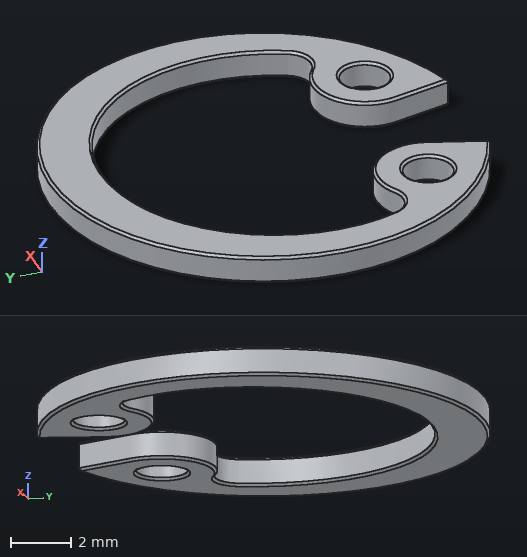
import cadquery as cq
import math

thickness = 1.0
outer_radius = 7.53
inner_radius = 6.05
inner_offset = 0.38
lug_x = 3.27
lug_y = -4.67
lug_radius = 1.84
hole_diameter = 1.7
pocket_radius = 0.87
edge_chamfer = 0.09
tip_chamfer = 0.06


def point_toward(start, target, distance):
    """Point at a distance from start, along the line to target."""
    ratio = distance / math.dist(start, target)
    return (start[0] + (target[0] - start[0]) * ratio,
            start[1] + (target[1] - start[1]) * ratio)


def polar(radius, angle):
    return (radius * math.cos(angle), radius * math.sin(angle))


def mirrored(point):
    return (-point[0], point[1])


ring_center = (0.0, 0.0)
bore_center = (0.0, -inner_offset)
lug_center = (lug_x, lug_y)

lug_distance = math.dist(ring_center, lug_center)
gap_angle = math.atan2(lug_y, lug_x) - math.asin(lug_radius / lug_distance)
gap_tip = polar(outer_radius, gap_angle)
gap_tangent = polar(math.sqrt(lug_distance**2 - lug_radius**2), gap_angle)

bore_to_pocket = inner_radius - pocket_radius
lug_to_pocket = lug_radius + pocket_radius
bore_to_lug = math.dist(bore_center, lug_center)
lug_direction = math.atan2(lug_y - bore_center[1], lug_x)
pocket_turn = math.acos(
    (bore_to_pocket**2 + bore_to_lug**2 - lug_to_pocket**2) / (2 * bore_to_pocket * bore_to_lug)
)
pocket_x, pocket_rise = polar(bore_to_pocket, lug_direction + pocket_turn)
pocket_center = (pocket_x, bore_center[1] + pocket_rise)

bore_tangent = point_toward(bore_center, pocket_center, inner_radius)
lug_tangent = point_toward(lug_center, pocket_center, lug_radius)

pocket_chord_middle = ((bore_tangent[0] + lug_tangent[0]) / 2, (bore_tangent[1] + lug_tangent[1]) / 2)
pocket_middle = point_toward(pocket_center, pocket_chord_middle, pocket_radius)
lug_chord_middle = ((lug_tangent[0] + gap_tangent[0]) / 2, (lug_tangent[1] + gap_tangent[1]) / 2)
lug_middle = point_toward(lug_center, lug_chord_middle, lug_radius)

bottom_plane = cq.Workplane("XY").workplane(offset=-thickness / 2)

ring = (
    bottom_plane
    .moveTo(*gap_tip)
    .threePointArc((0, outer_radius), mirrored(gap_tip))
    .lineTo(*mirrored(gap_tangent))
    .threePointArc(mirrored(lug_middle), mirrored(lug_tangent))
    .threePointArc(mirrored(pocket_middle), mirrored(bore_tangent))
    .threePointArc((0, inner_radius - inner_offset), bore_tangent)
    .threePointArc(pocket_middle, lug_tangent)
    .threePointArc(lug_middle, gap_tangent)
    .close()
    .extrude(thickness)
)

lug_holes = (
    bottom_plane
    .pushPoints([lug_center, mirrored(lug_center)])
    .circle(hole_diameter / 2)
    .extrude(thickness)
)

broken_ring = ring.cut(lug_holes).faces("|Z").edges().chamfer(edge_chamfer)

result = broken_ring.edges("|Z").edges("<Y").chamfer(tip_chamfer)